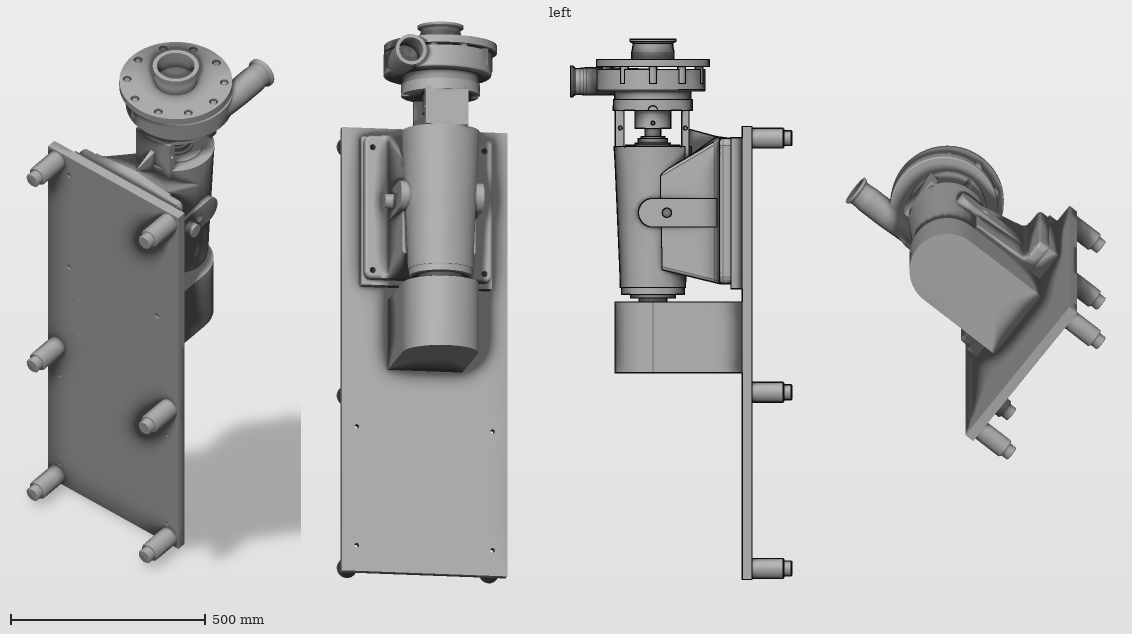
import cadquery as cq
TOTAL_HEIGHT = 1391.0

PLATE_WIDTH = 431.8
PLATE_HEIGHT = 1166.5
PLATE_THICKNESS = 25.4
PLATE_BACK = -230.0
PLATE_FRONT = PLATE_BACK - PLATE_THICKNESS
RISER_WIDTH = 340.0
RISER_THICKNESS = 29.0
RISER_TOP = 1137.0
RISER_BOTTOM = 748.0
RISER_BACK = PLATE_BACK + RISER_THICKNESS

PUMP_BOLT_X = 146.0
PUMP_BOLT_Z = (781.0, 1104.0)
PUMP_BOLT_DIAMETER = 16.0
GUARD_SCREW_X = 116.0
GUARD_SCREW_Z = (561.0, 686.0)
GUARD_SCREW_DIAMETER = 6.0
GUARD_SCREW_DEPTH = 12.0
MOTOR_BOLT_X = 177.5
MOTOR_BOLT_Z = (67.5, 380.0)
MOTOR_BOLT_DIAMETER = 12.0

FOOT_X = 185.7
FOOT_Z = (28.5, 482.0, 1136.0)
FOOT_RADIUS = 26.0
FOOT_BODY_LENGTH = 82.0
FOOT_CHAMFER = 3.0
FOOT_TIP_RADIUS = 19.5
FOOT_TIP_CHAMFER = 2.0
FOOT_END = -358.0

GUARD_RADIUS = 97.5
GUARD_TOP = 714.5
GUARD_BOTTOM = 532.0

SUCTION_FERRULE_RADIUS = 59.5
SUCTION_FERRULE_RIM = 6.0
SUCTION_NECK_RADIUS = 50.8
SUCTION_FERRULE_TAPER = 5.0
SUCTION_SLEEVE_RADIUS = 55.0
SUCTION_SLEEVE_TOP = TOTAL_HEIGHT - 36.0
SUCTION_BORE_RADIUS = 48.5
SUCTION_BORE_DEPTH = 50.0

COVER_RADIUS = 145.5
COVER_TOP = TOTAL_HEIGHT - 52.0
COVER_BOTTOM = TOTAL_HEIGHT - 71.0
BOLT_COUNT = 10
BOLT_CIRCLE_RADIUS = 125.0
BOLT_RECESS_RADIUS = 11.5
BOLT_RECESS_DEPTH = 12.0
BOLT_HEAD_RADIUS = 7.0
BOLT_HEAD_HEIGHT = 8.0
BOLT_BOSS_RADIUS = 10.5
BOLT_BOSS_BOTTOM = TOTAL_HEIGHT - 115.0

CASING_RADIUS = 139.0
CASING_CENTRE = (9.0, 4.5)
CASING_BOTTOM_FILLET = 4.0
CASING_TOP = TOTAL_HEIGHT - 78.0
CASING_BOTTOM = TOTAL_HEIGHT - 134.0

ADAPTER_NECK_RADIUS = 98.5
ADAPTER_RING_RADIUS = 102.0
ADAPTER_RING_TOP = TOTAL_HEIGHT - 156.0
ADAPTER_BOTTOM = TOTAL_HEIGHT - 183.5
ADAPTER_SCALLOP_RADIUS = 12.0
ADAPTER_SCALLOP_DEPTH = 20.0

DISCHARGE_X = 114.5
DISCHARGE_Z = TOTAL_HEIGHT - 109.0
DISCHARGE_END = FOOT_END + 569.95
DISCHARGE_FERRULE_RADIUS = 40.0
DISCHARGE_FERRULE_RIM = 6.0
DISCHARGE_TUBE_RADIUS = 35.5
DISCHARGE_REDUCER = ((35.5, 171.0), (34.8, 178.5), (33.8, 187.0))
DISCHARGE_TAPER_START = 109.0
DISCHARGE_TAPER_END_RADIUS = 31.0
DISCHARGE_BORE_RADIUS = 31.5

SEAL_RADIUS = 46.5
SEAL_BOTTOM = TOTAL_HEIGHT - 230.0
SEAL_PORT_RADIUS = 5.0
SEAL_PORT_Z = TOTAL_HEIGHT - 216.0
SHAFT_RADIUS = 20.5
BEARING_CAP_RADIUS = 38.0
BEARING_CAP_TOP = TOTAL_HEIGHT - 256.0
CAP_COLLAR_RADIUS = 31.0
CAP_COLLAR_HEIGHT = 5.0
BEARING_STEPS = ((70.0, 4.0), (46.0, 9.0))
LEG_WIDTH = 111.0
LEG_INNER_Y = 74.0
REAR_LEG_OUTER_Y = 97.0
FRONT_LEG_OUTER_Y = 93.5
LEG_HOLE_RADIUS = 5.0
LEG_HOLE_DEPTH = 10.0
LEG_HOLE_Z = TOTAL_HEIGHT - 229.0

FRAME_TOP = TOTAL_HEIGHT - 277.0
FRAME_TOP_RADIUS = 100.0
FRAME_BOTTOM = TOTAL_HEIGHT - 640.0
FRAME_BOTTOM_RADIUS = 84.0
END_RING_RADIUS = 81.0
END_RING_BOTTOM = TOTAL_HEIGHT - 657.0
END_COVER_RADIUS = 58.0
END_COVER_BOTTOM = TOTAL_HEIGHT - 667.0
END_HUB_RADIUS = 36.0

FOOT_FLANGE_WIDTH = 333.0
FOOT_FLANGE_TOP = RISER_TOP - 1.5
FOOT_FLANGE_BOTTOM = RISER_BOTTOM + 13.0
FOOT_FLANGE_BACK = -172.0
FOOT_CORNER_RADIUS = 18.0
FOOT_EDGE_FILLET = 8.0
WALL_BACK = (-19.0, TOTAL_HEIGHT - 345.5)
WALL_BACK_LOWER = (-24.0, TOTAL_HEIGHT - 594.0)
WALL_HALF_WIDTH_BACK = 95.0
WALL_HALF_WIDTH_FOOT = 108.0
WALL_SLOPE_FILLET = 8.0
WALL_FOOT_FILLET = 14.0
PAD_HALF_WIDTH = 108.5
PAD_HEIGHT = 74.0
PAD_CENTRE_Z = TOTAL_HEIGHT - 447.0
PAD_BACK = 37.0
PAD_HOLE_RADIUS = 12.0
PAD_HOLE_Y = -36.0
PAD_HOLE_DEPTH = 15.0
SIGHT_GLASS_RADIUS = 18.0
SIGHT_GLASS_Y = -80.5
SIGHT_GLASS_END = 132.0
GUSSET_THICKNESS = 13.0
GUSSET_LEG_Z = TOTAL_HEIGHT - 232.0
GUSSET_FOOT_Z = TOTAL_HEIGHT - 251.0
GUSSET_FOOT_Y = -164.0
GUSSET_ROOT_DEPTH = 6.0


def box(x_range, y_range, z_range):
    size = [end - start for start, end in (x_range, y_range, z_range)]
    return cq.Workplane("XY").box(*size, centered=False).translate((x_range[0], y_range[0], z_range[0]))


def centred_box(width, y_range, z_range):
    return box((-width / 2, width / 2), y_range, z_range)


def disc(radius, z_low, z_high):
    """Cylinder on the pump axis."""
    return cq.Workplane("XY").workplane(offset=z_low).circle(radius).extrude(z_high - z_low)


def y_cylinder(radius, x, z, y_start, y_end):
    start = cq.Vector(x, y_start, z)
    return cq.Workplane(cq.Solid.makeCylinder(radius, y_end - y_start, start, cq.Vector(0, 1, 0)))


def x_cylinder(radius, y, z, x_start, x_end):
    start = cq.Vector(x_start, y, z)
    return cq.Workplane(cq.Solid.makeCylinder(radius, x_end - x_start, start, cq.Vector(1, 0, 0)))


def drill(body, half_spacing, heights, diameter, y_start, y_end):
    """Two columns of holes along Y, mirrored about the pump axis."""
    for z in heights:
        for x in (-half_spacing, half_spacing):
            body = body.cut(y_cylinder(diameter / 2, x, z, y_start, y_end))
    return body


def make_base():
    base = centred_box(PLATE_WIDTH, (PLATE_FRONT, PLATE_BACK), (0, PLATE_HEIGHT))
    base = base.union(centred_box(RISER_WIDTH, (PLATE_BACK, RISER_BACK), (RISER_BOTTOM, RISER_TOP)))
    base = drill(base, PUMP_BOLT_X, PUMP_BOLT_Z, PUMP_BOLT_DIAMETER, PLATE_FRONT, RISER_BACK)
    base = drill(base, MOTOR_BOLT_X, MOTOR_BOLT_Z, MOTOR_BOLT_DIAMETER, PLATE_FRONT, PLATE_BACK)
    screw_end = PLATE_FRONT + GUARD_SCREW_DEPTH
    return drill(base, GUARD_SCREW_X, GUARD_SCREW_Z, GUARD_SCREW_DIAMETER, PLATE_FRONT, screw_end)


def make_levelling_foot(x, z):
    body_end = PLATE_FRONT - FOOT_BODY_LENGTH
    body = y_cylinder(FOOT_RADIUS, x, z, body_end, PLATE_FRONT).faces("<Y").chamfer(FOOT_CHAMFER)
    tip = y_cylinder(FOOT_TIP_RADIUS, x, z, FOOT_END, body_end).faces("<Y").chamfer(FOOT_TIP_CHAMFER)
    return body.union(tip)


def make_guard():
    """Arched guard standing on the plate, around the pump axis."""
    return (
        cq.Workplane("XY")
        .workplane(offset=GUARD_BOTTOM)
        .moveTo(-GUARD_RADIUS, PLATE_BACK)
        .lineTo(-GUARD_RADIUS, 0)
        .threePointArc((0, GUARD_RADIUS), (GUARD_RADIUS, 0))
        .lineTo(GUARD_RADIUS, PLATE_BACK)
        .close()
        .extrude(GUARD_TOP - GUARD_BOTTOM)
    )


def make_suction():
    rim_bottom = TOTAL_HEIGHT - SUCTION_FERRULE_RIM
    taper_bottom = rim_bottom - SUCTION_FERRULE_TAPER
    return (
        cq.Workplane("XZ")
        .moveTo(0, COVER_TOP)
        .lineTo(SUCTION_SLEEVE_RADIUS, COVER_TOP)
        .lineTo(SUCTION_SLEEVE_RADIUS, SUCTION_SLEEVE_TOP)
        .lineTo(SUCTION_NECK_RADIUS, taper_bottom)
        .lineTo(SUCTION_FERRULE_RADIUS, rim_bottom)
        .lineTo(SUCTION_FERRULE_RADIUS, TOTAL_HEIGHT)
        .lineTo(0, TOTAL_HEIGHT)
        .close()
        .revolve(360, (0, 0, 0), (0, 1, 0))
    )


def bolt_cylinders(radius, z_low, z_high):
    return (
        cq.Workplane("XY")
        .workplane(offset=z_low)
        .polarArray(BOLT_CIRCLE_RADIUS, 0, 360, BOLT_COUNT)
        .circle(radius)
        .extrude(z_high - z_low)
    )


def make_cover():
    recess_floor = COVER_TOP - BOLT_RECESS_DEPTH
    cover = disc(COVER_RADIUS, COVER_BOTTOM, COVER_TOP).union(make_suction())
    cover = cover.cut(disc(SUCTION_BORE_RADIUS, TOTAL_HEIGHT - SUCTION_BORE_DEPTH, TOTAL_HEIGHT))
    cover = cover.cut(bolt_cylinders(BOLT_RECESS_RADIUS, recess_floor, COVER_TOP))
    return cover.union(bolt_cylinders(BOLT_HEAD_RADIUS, recess_floor, recess_floor + BOLT_HEAD_HEIGHT))


def make_discharge():
    """Tangential discharge tube along Y with a ferrule at its end."""
    tube = (
        cq.Workplane("XY")
        .moveTo(0, 0)
        .lineTo(DISCHARGE_TAPER_END_RADIUS, 0)
        .lineTo(DISCHARGE_TUBE_RADIUS, DISCHARGE_TAPER_START)
        .polyline(DISCHARGE_REDUCER, includeCurrent=True)
        .lineTo(DISCHARGE_REDUCER[-1][0], DISCHARGE_END - 2 * DISCHARGE_FERRULE_RIM)
        .lineTo(DISCHARGE_FERRULE_RADIUS, DISCHARGE_END - DISCHARGE_FERRULE_RIM)
        .lineTo(DISCHARGE_FERRULE_RADIUS, DISCHARGE_END)
        .lineTo(0, DISCHARGE_END)
        .close()
        .revolve(360, (0, 0, 0), (0, 1, 0))
    )
    bore = y_cylinder(DISCHARGE_BORE_RADIUS, 0, 0, DISCHARGE_TAPER_START, DISCHARGE_END)
    return tube.cut(bore).translate((DISCHARGE_X, 0, DISCHARGE_Z))


def make_casing():
    casing = disc(CASING_RADIUS, CASING_BOTTOM, CASING_TOP).translate(CASING_CENTRE + (0,))
    casing = casing.faces("<Z").edges().fillet(CASING_BOTTOM_FILLET)
    casing = casing.union(bolt_cylinders(BOLT_BOSS_RADIUS, BOLT_BOSS_BOTTOM, COVER_BOTTOM))
    return casing.union(make_discharge())


def make_adapter():
    adapter = disc(ADAPTER_NECK_RADIUS, ADAPTER_RING_TOP, CASING_BOTTOM)
    adapter = adapter.union(disc(ADAPTER_RING_RADIUS, ADAPTER_BOTTOM, ADAPTER_RING_TOP))
    for side in (-1, 1):
        edge = sorted((side * ADAPTER_RING_RADIUS, side * (ADAPTER_RING_RADIUS - ADAPTER_SCALLOP_DEPTH)))
        adapter = adapter.cut(x_cylinder(ADAPTER_SCALLOP_RADIUS, 0, ADAPTER_BOTTOM, *edge))
    return adapter


def slope_height(y):
    """Z of the sloping upper face of the pedestal at a given Y."""
    y_back, z_back = WALL_BACK
    return z_back + (FOOT_FLANGE_TOP - z_back) * (y_back - y) / (y_back - FOOT_FLANGE_BACK)


def make_lantern():
    """Two legs that hold the pump head on the bearing frame, with seal housing and shaft between."""
    lantern = disc(SEAL_RADIUS, SEAL_BOTTOM, ADAPTER_BOTTOM)
    lantern = lantern.cut(x_cylinder(SEAL_PORT_RADIUS, 0, SEAL_PORT_Z, -SEAL_RADIUS, -SHAFT_RADIUS))
    lantern = lantern.union(disc(CAP_COLLAR_RADIUS, BEARING_CAP_TOP, BEARING_CAP_TOP + CAP_COLLAR_HEIGHT))
    lantern = lantern.union(disc(SHAFT_RADIUS, BEARING_CAP_TOP, SEAL_BOTTOM))
    lantern = lantern.union(disc(BEARING_CAP_RADIUS, FRAME_TOP, BEARING_CAP_TOP))
    for radius, height in BEARING_STEPS:
        lantern = lantern.union(disc(radius, FRAME_TOP, FRAME_TOP + height))

    rear_leg = centred_box(LEG_WIDTH, (LEG_INNER_Y, REAR_LEG_OUTER_Y), (FRAME_TOP, ADAPTER_BOTTOM))
    front_leg_bottom = slope_height(-LEG_INNER_Y)
    front_leg = centred_box(LEG_WIDTH, (-FRONT_LEG_OUTER_Y, -LEG_INNER_Y), (front_leg_bottom, ADAPTER_BOTTOM))
    lantern = lantern.union(rear_leg).union(front_leg)
    hole_y = (LEG_INNER_Y + FRONT_LEG_OUTER_Y) / 2
    for y in (-hole_y, hole_y):
        for side in (-1, 1):
            ends = sorted((side * LEG_WIDTH / 2, side * (LEG_WIDTH / 2 - LEG_HOLE_DEPTH)))
            lantern = lantern.cut(x_cylinder(LEG_HOLE_RADIUS, y, LEG_HOLE_Z, *ends))
    return lantern


def make_bearing_frame():
    height = FRAME_TOP - FRAME_BOTTOM
    foot_point = cq.Vector(0, 0, FRAME_BOTTOM)
    frame = cq.Workplane(cq.Solid.makeCone(FRAME_BOTTOM_RADIUS, FRAME_TOP_RADIUS, height, foot_point))
    frame = frame.union(disc(END_RING_RADIUS, END_RING_BOTTOM, FRAME_BOTTOM))
    frame = frame.union(disc(END_COVER_RADIUS, END_COVER_BOTTOM, END_RING_BOTTOM))
    return frame.union(disc(END_HUB_RADIUS, GUARD_TOP, END_COVER_BOTTOM))


def make_pedestal():
    """Tapered block from the bearing frame into the foot flange, with sloping upper and lower faces."""
    root_y = FOOT_FLANGE_BACK - FOOT_EDGE_FILLET
    root_width = 2 * (WALL_HALF_WIDTH_FOOT + WALL_FOOT_FILLET + 1)
    side_profile = (
        cq.Workplane("YZ")
        .polyline([
            WALL_BACK,
            (FOOT_FLANGE_BACK, FOOT_FLANGE_TOP),
            (root_y, FOOT_FLANGE_TOP),
            (root_y, FOOT_FLANGE_BOTTOM),
            (FOOT_FLANGE_BACK, FOOT_FLANGE_BOTTOM),
            WALL_BACK_LOWER,
        ])
        .close()
        .extrude(root_width / 2, both=True)
    )
    walls = (
        cq.Workplane("XY")
        .workplane(offset=FOOT_FLANGE_BOTTOM)
        .polyline([
            (-WALL_HALF_WIDTH_BACK, WALL_BACK[0]),
            (WALL_HALF_WIDTH_BACK, WALL_BACK[0]),
            (WALL_HALF_WIDTH_FOOT, FOOT_FLANGE_BACK),
            (-WALL_HALF_WIDTH_FOOT, FOOT_FLANGE_BACK),
        ])
        .close()
        .extrude(FOOT_FLANGE_TOP - FOOT_FLANGE_BOTTOM)
    )
    root = centred_box(root_width, (root_y, FOOT_FLANGE_BACK), (FOOT_FLANGE_BOTTOM, FOOT_FLANGE_TOP))
    plan = walls.union(root)
    for side in (-1, 1):
        corner = (side * WALL_HALF_WIDTH_FOOT, FOOT_FLANGE_BACK, (FOOT_FLANGE_BOTTOM + FOOT_FLANGE_TOP) / 2)
        plan = plan.edges(cq.selectors.NearestToPointSelector(corner)).fillet(WALL_FOOT_FILLET)
    pedestal = side_profile.intersect(plan)
    slopes = (WALL_BACK + (FOOT_FLANGE_TOP,), WALL_BACK_LOWER + (FOOT_FLANGE_BOTTOM,))
    for side in (-1, 1):
        for y_back, z_back, z_foot in slopes:
            middle = (
                side * (WALL_HALF_WIDTH_BACK + WALL_HALF_WIDTH_FOOT) / 2,
                (y_back + FOOT_FLANGE_BACK) / 2,
                (z_back + z_foot) / 2,
            )
            pedestal = pedestal.edges(cq.selectors.NearestToPointSelector(middle)).fillet(WALL_SLOPE_FILLET)
    return pedestal


def make_foot_flange():
    flange = centred_box(
        FOOT_FLANGE_WIDTH, (RISER_BACK, FOOT_FLANGE_BACK), (FOOT_FLANGE_BOTTOM, FOOT_FLANGE_TOP)
    )
    flange = flange.edges("|Y").fillet(FOOT_CORNER_RADIUS)
    return flange.faces(">Y").edges().fillet(FOOT_EDGE_FILLET)


def make_side_pads():
    """Round-ended mounting pad on each side of the frame."""
    radius = PAD_HEIGHT / 2
    pad_z = (PAD_CENTRE_Z - radius, PAD_CENTRE_Z + radius)
    pads = centred_box(2 * PAD_HALF_WIDTH, (FOOT_FLANGE_BACK, PAD_BACK - radius), pad_z)
    return pads.union(x_cylinder(radius, PAD_BACK - radius, PAD_CENTRE_Z, -PAD_HALF_WIDTH, PAD_HALF_WIDTH))


def make_gusset():
    """Rib from the front leg down to the sloping face of the pedestal."""
    return (
        cq.Workplane("YZ")
        .polyline([
            (-LEG_INNER_Y, GUSSET_LEG_Z),
            (-FRONT_LEG_OUTER_Y, GUSSET_LEG_Z),
            (GUSSET_FOOT_Y, GUSSET_FOOT_Z),
            (GUSSET_FOOT_Y, slope_height(GUSSET_FOOT_Y) - GUSSET_ROOT_DEPTH),
            (-LEG_INNER_Y, slope_height(-LEG_INNER_Y) - GUSSET_ROOT_DEPTH),
        ])
        .close()
        .extrude(GUSSET_THICKNESS / 2, both=True)
    )


def make_pump():
    pump = make_bearing_frame().union(make_pedestal()).union(make_foot_flange()).union(make_side_pads())
    pump = pump.union(make_lantern()).union(make_gusset())
    pump = pump.union(make_adapter()).union(make_casing()).union(make_cover())
    pump = pump.union(x_cylinder(SIGHT_GLASS_RADIUS, SIGHT_GLASS_Y, PAD_CENTRE_Z, 0, SIGHT_GLASS_END))
    pump = drill(pump, PUMP_BOLT_X, PUMP_BOLT_Z, PUMP_BOLT_DIAMETER, RISER_BACK, FOOT_FLANGE_BACK)
    for side in (-1, 1):
        ends = sorted((side * PAD_HALF_WIDTH, side * (PAD_HALF_WIDTH - PAD_HOLE_DEPTH)))
        pump = pump.cut(x_cylinder(PAD_HOLE_RADIUS, PAD_HOLE_Y, PAD_CENTRE_Z, *ends))
    return pump


base = make_base()
guard = make_guard()
pump = make_pump()
feet = [make_levelling_foot(x, z) for z in FOOT_Z for x in (-FOOT_X, FOOT_X)]

result = cq.Compound.makeCompound([
    base.val(),
    guard.val(),
    pump.val(),
    *[foot.val() for foot in feet],
])